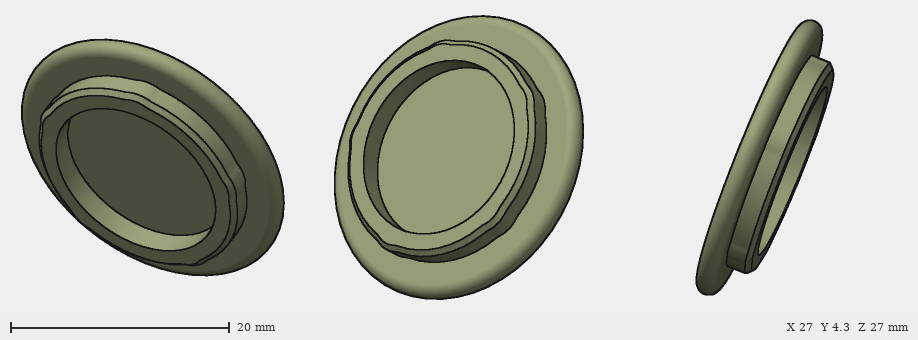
import cadquery as cq
import math

plate_diameter = 26.97
plate_thickness = 2.0
edge_radius = plate_thickness / 2

total_depth = 4.3
plug_height = total_depth - plate_thickness
plug_radius = 10.3
plug_chamfer = 0.49

lobe_count = 5
lobe_reach = 10.52
lobe_radius = 3.0
blend_radius = 2.0

pocket_diameter = 16.6
pocket_depth = plug_height


def polar(radius, angle):
    return (radius * math.cos(angle), radius * math.sin(angle))


def make_plate():
    """Disc with a fully rounded rim, its flat faces at Y = 0 and Y = plate_thickness."""
    flat_radius = plate_diameter / 2 - edge_radius
    return (
        cq.Workplane("XY")
        .lineTo(flat_radius, 0)
        .threePointArc((plate_diameter / 2, edge_radius), (flat_radius, plate_thickness))
        .lineTo(0, plate_thickness)
        .close()
        .revolve(360, (0, 0, 0), (0, 1, 0))
    )


def make_plug():
    """Lobed plug; concave arcs blend each lobe tangentially into the main circle."""
    lobe_center = lobe_reach - lobe_radius
    blend_center = plug_radius + blend_radius
    center_gap = lobe_radius + blend_radius

    blend_angle = math.acos(
        (blend_center**2 + lobe_center**2 - center_gap**2) / (2 * blend_center * lobe_center)
    )
    blend_along, blend_across = polar(blend_center, blend_angle)
    tangent_ratio = lobe_radius / center_gap
    tangent_along = lobe_center + (blend_along - lobe_center) * tangent_ratio
    tangent_across = blend_across * tangent_ratio
    tangent_radius = math.hypot(tangent_along, tangent_across)
    tangent_angle = math.atan2(tangent_across, tangent_along)

    start_direction = blend_angle + math.pi
    end_direction = math.atan2(tangent_across - blend_across, tangent_along - blend_along)
    middle_direction = (start_direction + end_direction % (2 * math.pi)) / 2
    middle_along = blend_along + blend_radius * math.cos(middle_direction)
    middle_across = blend_across + blend_radius * math.sin(middle_direction)
    middle_radius = math.hypot(middle_along, middle_across)
    middle_angle = math.atan2(middle_across, middle_along)

    pitch = 2 * math.pi / lobe_count
    first_lobe = math.pi / 2
    outline = cq.Workplane("XZ").moveTo(*polar(plug_radius, first_lobe - blend_angle))
    for index in range(lobe_count):
        lobe = first_lobe + index * pitch
        lobe_start = polar(tangent_radius, lobe - tangent_angle)
        lobe_end = polar(tangent_radius, lobe + tangent_angle)
        circle_start = polar(plug_radius, lobe + blend_angle)
        circle_end = polar(plug_radius, lobe + pitch - blend_angle)
        outline = (
            outline
            .threePointArc(polar(middle_radius, lobe - middle_angle), lobe_start)
            .threePointArc(polar(lobe_reach, lobe), lobe_end)
            .threePointArc(polar(middle_radius, lobe + middle_angle), circle_start)
            .threePointArc(polar(plug_radius, lobe + pitch / 2), circle_end)
        )
    return outline.close().extrude(plug_height).faces("<Y").chamfer(plug_chamfer)


def make_pocket():
    return (
        cq.Workplane("XZ", origin=(0, -plug_height, 0))
        .circle(pocket_diameter / 2)
        .extrude(-pocket_depth)
    )


result = make_plate().union(make_plug()).cut(make_pocket())